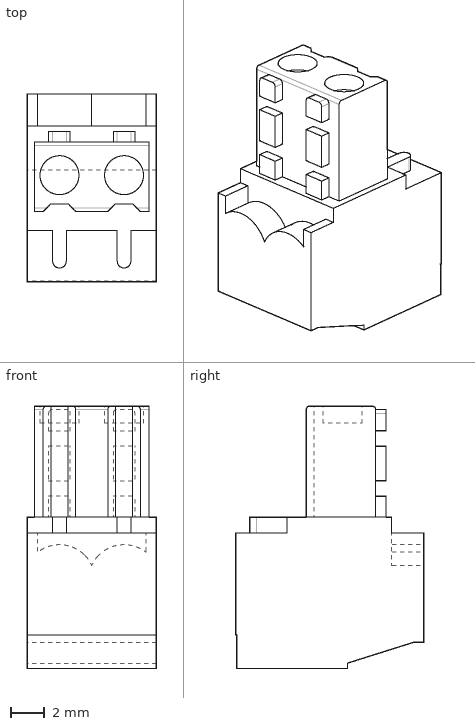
import cadquery as cq

pitch = 3.81
poles = 2
pole_centres = [(i - (poles - 1) / 2) * pitch for i in range(poles)]

housing_width = poles * pitch
housing_depth = 11.1
shoulder_height = 8.02
foot_setback = 0.06
foot_height = 2.0
foot_back = 6.6
foot_lip = 0.32
rear_flat_start = 10.5
rear_flat_height = 1.55

plate_top = 8.94
plate_front = 3.03
plate_back = 9.2
key_width = 0.8
key_tip = 0.82

saddle_radius = 2.1
saddle_top = 7.32
edge_strip_width = 0.61

overall_height = 15.5
plug_width = 6.77
plug_front = 4.16
plug_back = 8.26
plug_edge_radius = 0.2
contact_y = 6.3
contact_diameter = 2.3
contact_depth = 1.0
groove_floor_width = 1.02
groove_depth = 0.45

rib_width = 1.27
rib_back = 8.87
rib_spans = [(plate_top, 10.18), (11.09, 13.14), (14.03, 15.3)]
rib_edge_radius = 0.23


def box(x_range, y_range, z_range):
    """Axis-aligned box given by its limits."""
    (x0, x1), (y0, y1), (z0, z1) = x_range, y_range, z_range
    return cq.Workplane("XY").box(x1 - x0, y1 - y0, z1 - z0, centered=False).translate((x0, y0, z0))


def centred_range(centre, width):
    return (centre - width / 2, centre + width / 2)


def make_housing():
    """Side profile extruded over the full width."""
    profile = [
        (foot_setback, 0),
        (foot_back, 0),
        (foot_back, foot_lip),
        (rear_flat_start, rear_flat_height),
        (housing_depth, rear_flat_height),
        (housing_depth, shoulder_height),
        (plate_back, shoulder_height),
        (plate_back, plate_top),
        (plate_front, plate_top),
        (plate_front, shoulder_height),
        (0, shoulder_height),
        (0, foot_height),
        (foot_setback, foot_height),
    ]
    return cq.Workplane("YZ").polyline(profile).close().extrude(housing_width / 2, both=True)


def make_key(x):
    """Round-ended coding key running forward from the plate."""
    tip_radius = key_width / 2
    tip_centre = key_tip + tip_radius
    bar = box(centred_range(x, key_width), (tip_centre, plate_front), (shoulder_height, plate_top))
    tip = (
        cq.Workplane("XY", origin=(x, tip_centre, shoulder_height))
        .circle(tip_radius)
        .extrude(plate_top - shoulder_height)
    )
    return bar.union(tip)


def make_saddle_recess():
    """Space removed behind the plate, leaving a rounded saddle at each pole."""
    saddle_axis = saddle_top - saddle_radius
    saddle_length = housing_depth - plate_back
    recess = box(
        centred_range(0, housing_width - 2 * edge_strip_width),
        (plate_back, housing_depth),
        (saddle_axis, shoulder_height),
    )
    for x in pole_centres:
        saddle = (
            cq.Workplane("XZ", origin=(x, housing_depth, saddle_axis))
            .circle(saddle_radius)
            .extrude(saddle_length)
        )
        recess = recess.cut(saddle)
    return recess


def make_plug():
    """Upright plug with rounded long top edges, contact holes and front grooves."""
    plug = box(centred_range(0, plug_width), (plug_front, plug_back), (plate_top, overall_height))
    plug = plug.faces(">Z").edges("|X").fillet(plug_edge_radius)
    half_floor = groove_floor_width / 2
    half_mouth = half_floor + groove_depth
    groove_floor = plug_front + groove_depth
    for x in pole_centres:
        contact = (
            cq.Workplane("XY", origin=(x, contact_y, overall_height - contact_depth))
            .circle(contact_diameter / 2)
            .extrude(contact_depth)
        )
        groove = (
            cq.Workplane("XY", origin=(x, 0, plate_top))
            .polyline([
                (-half_mouth, plug_front),
                (half_mouth, plug_front),
                (half_floor, groove_floor),
                (-half_floor, groove_floor),
            ])
            .close()
            .extrude(overall_height - plate_top)
        )
        plug = plug.cut(contact).cut(groove)
    return plug


def make_ribs(x):
    """Column of rib segments as a list; the last, topmost one has rounded upper side edges."""
    segments = [box(centred_range(x, rib_width), (plug_back, rib_back), span) for span in rib_spans]
    segments[-1] = segments[-1].faces(">Z").edges("|Y").fillet(rib_edge_radius)
    return segments


result = make_housing().cut(make_saddle_recess()).union(make_plug())
for pole_x in pole_centres:
    result = result.union(make_key(pole_x))
    for rib in make_ribs(pole_x):
        result = result.union(rib)